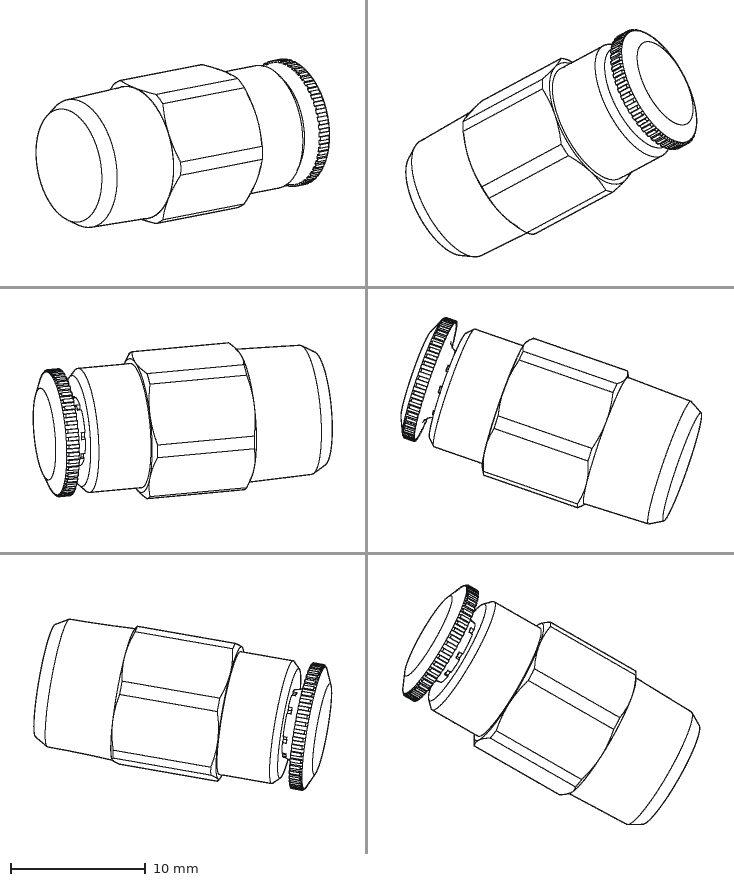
import cadquery as cq
import math


total_length = 21.0
thread_length = 6.0
hex_length = 8.0
collar_length = 4.5
cap_thickness = 1.5
hex_start = thread_length
hex_end = hex_start + hex_length
collar_end = hex_end + collar_length
cap_front = total_length - cap_thickness
flare_radius = cap_front - collar_end

thread_base_radius = 4.98
thread_tip_radius = 4.83
lead_in_length = 0.99
lead_in_angle = 30.0

hex_sides = 6
hex_across_flats = 10.0
hex_corner_radius = 5.5
hex_chamfer_angle = 30.0

collar_radius = 4.65
collar_chamfer = 0.5

neck_radius = 2.56
cap_radius = 4.75
cap_face_radius = 3.42
cap_cone_height = 0.55
button_turn = -6.3

groove_count = 50
groove_width = 0.32
groove_depth = 0.15

window_sides = 4
window_offset = 0.85
window_width = 0.48
window_height = 0.3
window_floor = 2.15


def turned(points):
    """Solid of revolution about Y from (radius, y) points of a closed outline."""
    return cq.Workplane("XY").polyline(points).close().revolve(360, (0, 0, 0), (0, 1, 0))


def radial_cutter(width, length, floor, top, y_start, offset=0.0):
    """Box standing along +Z from floor to top, starting at y_start."""
    box = cq.Workplane("XY").box(width, length, top - floor, centered=(True, False, False))
    return box.translate((offset, y_start, floor))


def turn_about_axis(body, angle):
    return body.rotate((0, 0, 0), (0, 1, 0), angle)


def make_thread():
    lead_in_radius = thread_tip_radius - lead_in_length * math.tan(math.radians(lead_in_angle))
    return turned([
        (0, 0),
        (lead_in_radius, 0),
        (thread_tip_radius, lead_in_length),
        (thread_base_radius, hex_start),
        (0, hex_start),
    ])


def make_hex():
    across_corners = hex_across_flats / math.cos(math.radians(180 / hex_sides))
    prism = (
        cq.Workplane("XZ", origin=(0, hex_end, 0))
        .polygon(hex_sides, across_corners)
        .extrude(hex_length)
    )
    face_radius = hex_across_flats / 2
    chamfer = (hex_corner_radius - face_radius) * math.tan(math.radians(hex_chamfer_angle))
    envelope = turned([
        (0, hex_start),
        (face_radius, hex_start),
        (hex_corner_radius, hex_start + chamfer),
        (hex_corner_radius, hex_end - chamfer),
        (face_radius, hex_end),
        (0, hex_end),
    ])
    return prism.intersect(envelope)


def make_collar():
    return turned([
        (0, hex_end),
        (collar_radius, hex_end),
        (collar_radius, collar_end - collar_chamfer),
        (collar_radius - collar_chamfer, collar_end),
        (0, collar_end),
    ])


def make_button_blank():
    flare_center_radius = neck_radius + flare_radius
    flare_mid = flare_radius * math.sin(math.radians(45))
    cone_base = total_length - cap_cone_height
    return (
        cq.Workplane("XY")
        .moveTo(0, collar_end)
        .lineTo(neck_radius, collar_end)
        .threePointArc(
            (flare_center_radius - flare_mid, collar_end + flare_mid),
            (flare_center_radius, cap_front),
        )
        .lineTo(cap_radius, cap_front)
        .lineTo(cap_radius, cone_base - groove_depth)
        .lineTo(cap_radius - groove_depth, cone_base)
        .lineTo(cap_face_radius, total_length)
        .lineTo(0, total_length)
        .close()
        .revolve(360, (0, 0, 0), (0, 1, 0))
    )


def make_button():
    button = make_button_blank()

    groove = radial_cutter(
        groove_width, cap_thickness, cap_radius - groove_depth, cap_radius + groove_depth, cap_front
    )
    for i in range(groove_count):
        button = button.cut(turn_about_axis(groove, i * 360 / groove_count))

    for i in range(window_sides):
        for offset in (-window_offset, window_offset):
            window = radial_cutter(
                window_width, window_height, window_floor, cap_face_radius, collar_end, offset
            )
            button = button.cut(turn_about_axis(window, i * 360 / window_sides))

    return turn_about_axis(button, button_turn)


result = make_thread().union(make_hex()).union(make_collar()).union(make_button())